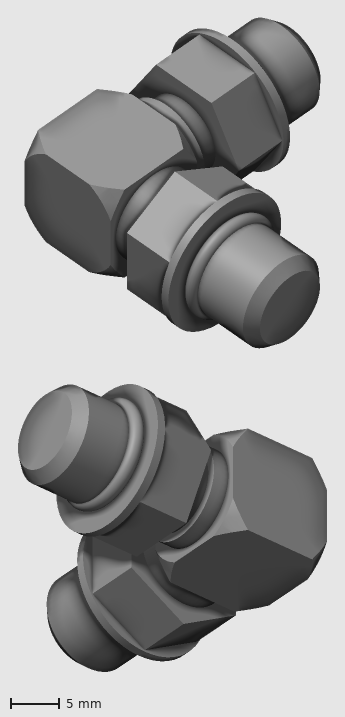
import cadquery as cq
import math

block_size = 12.6
block_half = block_size / 2
face_circle_radius = 7.05
corner_cut_depth = 2.0

hex_across_flats = 14.0
hex_across_corners = hex_across_flats / math.cos(math.pi / 6)
hex_length = 6.32
flange_radius = 8.25
flange_thickness = 0.95
ring_radius = 6.25
ring_width = 1.65

spigot_radius = 5.55
tip_radius = 4.4
tip_length = 1.3

x_hex_start = 9.35
x_arm_end = 26.18
y_collar_end = 8.22
y_hex_start = 10.67
y_arm_end = 26.3
y_neck_radius = 4.63

y_ring_shift = -0.3


def make_block():
    """Cube whose corners are turned off conically at both Y ends."""
    corner_radius = block_half * math.sqrt(2)
    envelope = (
        cq.Workplane("XY")
        .moveTo(0, -block_half)
        .lineTo(face_circle_radius, -block_half)
        .lineTo(corner_radius, corner_cut_depth - block_half)
        .lineTo(corner_radius, block_half - corner_cut_depth)
        .lineTo(face_circle_radius, block_half)
        .lineTo(0, block_half)
        .close()
        .revolve(360, (0, 0, 0), (0, 1, 0))
    )
    return cq.Workplane("XY").box(block_size, block_size, block_size).intersect(envelope)


def cylinder(radius, start, end):
    """Cylinder along Z between two heights."""
    return cq.Workplane("XY").workplane(offset=start).circle(radius).extrude(end - start)


def make_ring(start):
    """Solid disc with a half-round rim, standing on the given height."""
    end = start + ring_width
    rim_start_radius = ring_radius - ring_width / 2
    return (
        cq.Workplane("XZ")
        .moveTo(0, start)
        .lineTo(rim_start_radius, start)
        .threePointArc((ring_radius, (start + end) / 2), (rim_start_radius, end))
        .lineTo(0, end)
        .close()
        .revolve(360, (0, 0, 0), (0, 1, 0))
    )


def make_fitting(hex_start, arm_end, ring_shift=0):
    """Nut, flange, seal ring and spigot along Z, with nut corners on the X axis."""
    flange_start = hex_start + hex_length
    ring_start = flange_start + flange_thickness
    nut = (
        cq.Workplane("XY")
        .workplane(offset=hex_start)
        .polygon(6, hex_across_corners)
        .extrude(hex_length)
    )
    turned = (
        cq.Workplane("XZ")
        .moveTo(0, flange_start)
        .lineTo(flange_radius, flange_start)
        .lineTo(flange_radius, ring_start)
        .lineTo(spigot_radius, ring_start)
        .lineTo(spigot_radius, arm_end - tip_length)
        .lineTo(tip_radius, arm_end)
        .lineTo(0, arm_end)
        .close()
        .revolve(360, (0, 0, 0), (0, 1, 0))
    )
    ring = make_ring(ring_start).translate((ring_shift, 0, 0))
    return nut.union(turned).union(ring)


x_arm = cylinder(spigot_radius, 0, x_hex_start).union(make_fitting(x_hex_start, x_arm_end))
x_arm = x_arm.rotate((0, 0, 0), (0, 1, 0), 90)

y_arm = (
    cylinder(spigot_radius, 0, y_collar_end)
    .union(cylinder(y_neck_radius, y_collar_end, y_hex_start))
    .union(make_fitting(y_hex_start, y_arm_end, y_ring_shift))
    .rotate((0, 0, 0), (1, 0, 0), -90)
)

result = make_block().union(x_arm).union(y_arm)